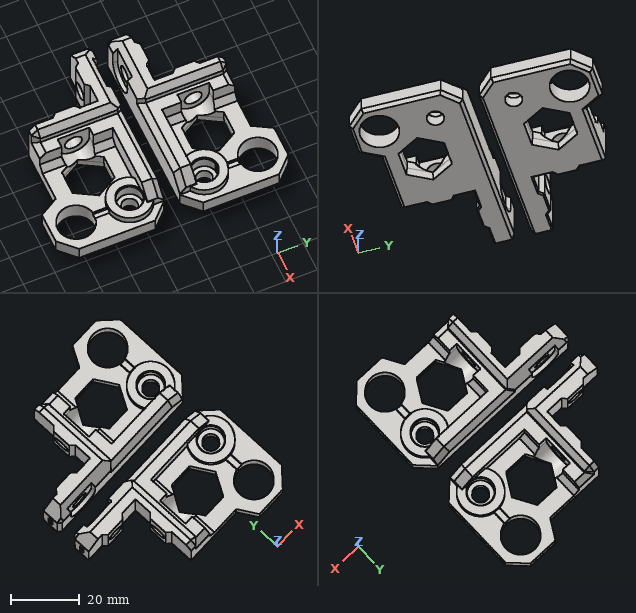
import cadquery as cq
import math


length = 58.0
total_width = 73.9
height = 17.0
gap = 4.95
inner_y = gap / 2
outer_y = total_width / 2
margin = 0.1

plate_height = 6.0
shoulder_y = inner_y + 28.55
tab_x = 42.9
corner_cut = 5.2
tab_slope = math.radians(60)
tab_slope_start_x = tab_x - (outer_y - shoulder_y) / math.tan(tab_slope)
edge_chamfer = 1.0
rail_chamfer = 0.45

step = 2.0
long_wall_y = inner_y + 6.5
cross_wall_x = 20.0
tall_end_x = 24.0
ledge_end_x = 28.0
ledge_height = 13.1
end_chamfer = 4.0
inner_chamfer = 3.4

bar_y = inner_y + 5.3
bar_end_x = length - corner_cut
bar_slope_x = 48.6
run_out_bevel = 1.7

rail_height = 1.3
rail_base = 8.6
rail_crest = 6.1
long_rail_x = 10.05
cross_rail_y = inner_y + 16.55

long_bolt_z = 8.65
cross_bolt_z = 8.1
bolt_diameter = 5.5
long_recess_width = 10.35
long_recess_depth = 1.5
cross_recess_width = 10.05
cross_recess_x = 25.1

hex_x = 35.8
hex_sides = 6
hex_flats = 13.3
hex_flare_z = plate_height / 2
hex_flare_flats = 13.8
hole_x = 49.25
large_hole_y = inner_y + 26.4
large_hole_diameter = 11.6

boss_y = inner_y + 9.4
boss_diameter = 14.05
boss_top = 8.4
bore_diameter = 8.05
bore_floor = 4.0
mouth_width = 0.2
mouth_depth = 0.5
screw_diameter = 5.0

groove_width = 2.1
groove_floor = 4.95
groove_top = 6.95

pit_diameter = 1.5
pit_depth = 0.45
pit_pitch = 2.0
pit_y = inner_y + 3.7
pit_middle_z = 6.6


def prism(points, bottom, top):
    """Upright prism over a plan outline."""
    return cq.Workplane("XY").workplane(offset=bottom).polyline(points).close().extrude(top - bottom)


def profile_along_y(points, start, end):
    """Prism along Y over an (x, z) outline."""
    return cq.Workplane("XZ", origin=(0, start, 0)).polyline(points).close().extrude(start - end)


def profile_along_x(points, start, end):
    """Prism along X over a (y, z) outline."""
    return cq.Workplane("YZ", origin=(start, 0, 0)).polyline(points).close().extrude(end - start)


def disc(x, y, diameter, bottom, top):
    return cq.Workplane("XY", origin=(x, y, bottom)).circle(diameter / 2).extrude(top - bottom)


def wall_outline():
    """Outer wall faces with their rails, from the free end to the end of the cross wall."""
    base = rail_base / 2
    crest = rail_crest / 2
    rail_y = long_wall_y + rail_height
    rail_x = cross_wall_x - rail_height
    return [
        (0, long_wall_y),
        (long_rail_x - base, long_wall_y),
        (long_rail_x - crest, rail_y),
        (long_rail_x + crest, rail_y),
        (long_rail_x + base, long_wall_y),
        (cross_wall_x, long_wall_y),
        (cross_wall_x, cross_rail_y - base),
        (rail_x, cross_rail_y - crest),
        (rail_x, cross_rail_y + crest),
        (cross_wall_x, cross_rail_y + base),
        (cross_wall_x, shoulder_y),
    ]


def make_base():
    """Full footprint up to the plate top, with its bottom edges chamfered."""
    outline = wall_outline() + [
        (tab_slope_start_x, shoulder_y),
        (tab_x, outer_y),
        (length - corner_cut, outer_y),
        (length, outer_y - corner_cut),
        (length, inner_y + corner_cut),
        (length - corner_cut, inner_y),
        (0, inner_y),
    ]
    rail_side = cq.selectors.BoxSelector(
        (0, long_wall_y - margin, -margin), (cross_wall_x + margin, shoulder_y - margin, margin)
    )
    free_end = cq.selectors.BoxSelector(
        (-margin, inner_y, -margin), (margin, long_wall_y - margin, margin)
    )
    base = prism(outline, 0, plate_height)
    rail_edges = base.faces("<Z").edges(rail_side)
    plate_edges = base.faces("<Z").edges(cq.selectors.InverseSelector(rail_side + free_end))
    rail_cut = base.cut(rail_edges.chamfer(rail_chamfer))
    plate_cut = base.cut(plate_edges.chamfer(edge_chamfer))
    return base.cut(rail_cut).cut(plate_cut)


def add_walls(bracket):
    """Long wall and cross wall at full height, stepping down to the ledge."""
    tall_plan = wall_outline() + [
        (tall_end_x, shoulder_y),
        (tall_end_x, inner_y + step),
        (tall_end_x - step, inner_y),
        (0, inner_y),
    ]
    ledge_plan = [
        (cross_wall_x, inner_y),
        (ledge_end_x, inner_y),
        (ledge_end_x, shoulder_y),
        (cross_wall_x, shoulder_y),
    ]
    tall = prism(tall_plan, plate_height, height)
    tall = tall.cut(wall_end_cut(tall_end_x, height, step, 1))
    tall = tall.cut(wall_end_cut(0, height, end_chamfer, -1))
    tall = tall.cut(inner_edge_cut(height, inner_chamfer)).cut(outer_edge_cut(height))
    tall = tall.cut(corner_bevel(tall_end_x, shoulder_y, -1, -1, step, height - step))
    ledge = prism(ledge_plan, plate_height, ledge_height)
    ledge = ledge.cut(inner_edge_cut(ledge_height, step)).cut(outer_edge_cut(ledge_height))
    return bracket.union(tall).union(ledge)


def wall_end_cut(x, top, size, side):
    """45 degree cut along Y on the top edge at x; side is +1 for an end that faces +X, else -1."""
    points = [(x - side * size, top), (x, top), (x, top - size)]
    return profile_along_y(points, inner_y, outer_y)


def inner_edge_cut(top, size):
    """45 degree cut along X on the top edge of the inner face."""
    return profile_along_x([(inner_y, top - size), (inner_y + size, top), (inner_y, top)], 0, length)


def outer_edge_cut(top):
    """45 degree cut along X on the top edge of the outer end of the cross wall."""
    points = [(shoulder_y, top - step), (shoulder_y - step, top), (shoulder_y, top)]
    return profile_along_x(points, 0, length)


def add_bar(bracket):
    """Bar along the inner edge that runs out at 45 degrees, bevelled on its inner side."""
    drop = bar_end_x - bar_slope_x
    side_profile = [
        (ledge_end_x, plate_height),
        (bar_end_x, plate_height),
        (bar_end_x, ledge_height - drop),
        (bar_slope_x, ledge_height),
        (ledge_end_x, ledge_height),
    ]
    bar = profile_along_y(side_profile, inner_y, bar_y)
    run_out = cq.Plane(origin=(bar_slope_x, inner_y, ledge_height), xDir=(0, 1, 0), normal=(1, 0, -1))
    bevel = cq.Workplane(run_out).polyline([(0, 0), (step, 0), (0, -run_out_bevel)]).close()
    bar = bar.cut(inner_edge_cut(ledge_height, step)).cut(bevel.extrude(2 * drop, both=True))
    return bracket.union(bar)


def add_foot(bracket):
    """45 degree foot where the cross wall meets the plate."""
    points = [
        (ledge_end_x, plate_height),
        (ledge_end_x + step, plate_height),
        (ledge_end_x, plate_height + step),
    ]
    return bracket.union(profile_along_y(points, inner_y + step, shoulder_y))


def corner_bevel(x, y, toward_x, toward_y, size, facet_z):
    """Cut for the vertical corner at (x, y): upright up to facet_z, leaning back above it.

    toward_x and toward_y are +1 or -1 and point from the corner into the material.
    """
    face = size / math.sqrt(2)
    rise = height - facet_z
    lean = rise / math.sqrt(2)
    diagonal = cq.Plane(
        origin=(x, y, 0), xDir=(toward_x, toward_y, 0), normal=(toward_y, -toward_x, 0)
    )
    points = [
        (-size, 0),
        (face, 0),
        (face, facet_z),
        (face + lean, height),
        (-size, height),
    ]
    return cq.Workplane(diagonal).polyline(points).close().extrude(height, both=True)


def add_boss(bracket):
    """Round boss with its bore and screw hole."""
    bracket = bracket.union(disc(hole_x, boss_y, boss_diameter, plate_height, boss_top))
    bore = disc(hole_x, boss_y, bore_diameter, bore_floor, boss_top)
    mouth = cq.Solid.makeCone(
        bore_diameter / 2,
        bore_diameter / 2 + mouth_width,
        mouth_depth,
        cq.Vector(hole_x, boss_y, boss_top - mouth_depth),
    )
    screw_hole = disc(hole_x, boss_y, screw_diameter, 0, bore_floor)
    return bracket.cut(bore).cut(cq.Workplane(mouth)).cut(screw_hole)


def cut_plate_holes(bracket):
    """Large hole, flared hexagon, and the groove from the large hole to the bore."""
    bracket = bracket.cut(disc(hole_x, large_hole_y, large_hole_diameter, 0, plate_height))
    corners = hex_flats / math.cos(math.pi / hex_sides)
    flared_corners = hex_flare_flats / math.cos(math.pi / hex_sides)
    hex_plane = cq.Workplane("XY", origin=(hex_x, cross_rail_y, 0))
    hexagon = hex_plane.polygon(hex_sides, corners).extrude(plate_height)
    flare = (
        hex_plane.polygon(hex_sides, flared_corners)
        .workplane(offset=hex_flare_z)
        .polygon(hex_sides, corners)
        .loft(ruled=True)
    )
    groove = cq.Workplane("XY").box(
        groove_width, large_hole_y - boss_y, groove_top - groove_floor, centered=(True, False, False)
    )
    groove = groove.translate((hole_x, boss_y, groove_floor))
    return bracket.cut(hexagon).cut(flare).cut(groove)


def recess(plane, width, depth):
    """Head recess with a round floor, open at the top, sunk from the plane's origin along its normal."""
    half = width / 2
    rise = height - plane.origin.z
    return (
        cq.Workplane(plane)
        .moveTo(-half, rise)
        .lineTo(-half, 0)
        .threePointArc((0, -half), (half, 0))
        .lineTo(half, rise)
        .close()
        .extrude(depth)
    )


def cut_bolt_holes(bracket):
    """Bolt hole and head recess through each wall."""
    along_y = cq.Plane(origin=(long_rail_x, inner_y, long_bolt_z), xDir=(-1, 0, 0), normal=(0, 1, 0))
    along_x = cq.Plane(
        origin=(cross_recess_x, cross_rail_y, cross_bolt_z), xDir=(0, 1, 0), normal=(1, 0, 0)
    )
    bracket = bracket.cut(recess(along_y, long_recess_width, long_recess_depth))
    bracket = bracket.cut(recess(along_x, cross_recess_width, hex_x - cross_recess_x))
    bracket = bracket.cut(cq.Workplane(along_y).circle(bolt_diameter / 2).extrude(long_wall_y))
    cross_hole = cq.Workplane(along_x).circle(bolt_diameter / 2).extrude(-cross_recess_x)
    return bracket.cut(cross_hole)


def cut_pits(bracket):
    """Column of marking pits in the free end."""
    for index in (-1, 0, 1):
        centre = (0, pit_y, pit_middle_z + index * pit_pitch)
        bracket = bracket.cut(cq.Workplane("YZ", origin=centre).circle(pit_diameter / 2).extrude(pit_depth))
    return bracket


def make_bracket(mirrored):
    """One bracket, on the +Y side, or on the -Y side when mirrored."""
    bracket = add_walls(make_base())
    bracket = add_bar(bracket)
    bracket = add_foot(bracket)
    bracket = add_boss(bracket)
    bracket = bracket.cut(corner_bevel(0, inner_y, 1, 1, edge_chamfer, height - end_chamfer))
    bracket = cut_plate_holes(bracket)
    bracket = cut_bolt_holes(bracket)
    bracket = cut_pits(bracket)
    return bracket.mirror("XZ") if mirrored else bracket


brackets = [make_bracket(mirrored).solids().val() for mirrored in (False, True)]

result = cq.Compound.makeCompound(brackets)